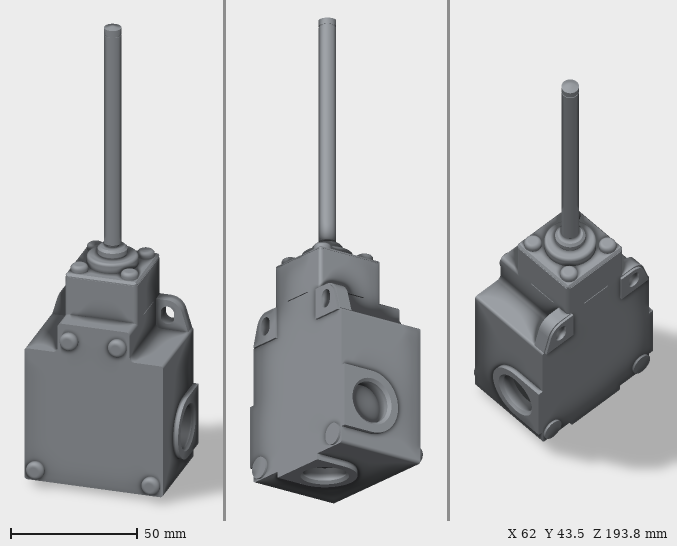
import cadquery as cq


body_width = 57.8
body_front = -24.5
body_back = 15.0
body_bottom = 2.5
shoulder_z = 59.7
column_top = 72.5
post_top = 77.0
edge_radius = 1.2
column_edge_radius = 1.5
inner_corner_radius = 2.0

neck_width = 30.0
neck_depth = 30.2
neck_edge_radius = 1.5
tongue_width = 13.2
tongue_gap = 0.4

overall_width = 62.0
entry_z = 22.3
entry_y = 1.4
entry_radius = 13.0
entry_bore_radius = 8.5
entry_bore_depth = 6.4
entry_bore_chamfer = 1.2

lug_thickness = 5.5
lug_base_x = 28.3
lug_corner_x = 24.5
lug_corner_radius = 6.5
lug_slot_x = 19.8
lug_slot_z = 65.9
lug_slot_width = 5.5
lug_slot_length = 7.5
pad_height = 1.0
lug_pad_inset = 0.5
foot_pad_radius = 4.5

screw_radius = 3.7
screw_height = 3.0
screw_dome = 1.7
upper_screw_x = 10.0
upper_screw_z = 65.5
lower_screw_x = 24.0
lower_screw_z = 7.4
head_screw_radius = 3.5
head_screw_height = 2.7
head_screw_dome = 1.5
head_screw_offset = 10.5

head_top = 90.1
lid_bevel_height = 1.0
lid_bevel_inset = 0.8
lid_groove_height = 0.5
lid_groove_depth = 0.2
collar_radius = 10.3
collar_height = 4.0
collar_fillet = 1.2
sleeve_radius = 6.0
sleeve_top = 97.9
sleeve_chamfer = 1.0
undercut_top = 95.0
undercut_depth = 0.4

rod_radius = 3.5
rod_bottom = 98.8
rod_top = 193.8
rod_chamfer = 0.4
tip_rise = 0.8
tip_groove_z = 190.0
tip_groove_height = 0.5
tip_groove_depth = 0.2
stem_radius = 2.5

neck_y = body_back - neck_depth / 2
column_z = (shoulder_z + column_top) / 2


def y_prism(outline, y_start, y_end):
    """Extrude a closed XZ outline from y_start to y_end."""
    return cq.Workplane("XZ", origin=(0, y_start, 0)).polyline(outline).close().extrude(y_start - y_end)


def neck_block(bottom, top):
    """Nearly square block, flush with the housing back, with rounded vertical edges."""
    return (
        cq.Workplane("XY", origin=(0, neck_y, bottom))
        .rect(neck_width, neck_depth)
        .extrude(top - bottom)
        .edges("|Z")
        .fillet(neck_edge_radius)
    )


def cross_bars(bottom):
    """Crossing bars from the given height up to the post tops."""
    height = post_top - bottom
    origin = (0, neck_y, bottom)
    along_x = cq.Workplane("XY", origin=origin).rect(neck_width, tongue_width).extrude(height)
    along_y = cq.Workplane("XY", origin=origin).rect(tongue_width, neck_depth).extrude(height)
    return along_x.union(along_y)


def housing_shell():
    """Body and narrower column in one outline, with rounded corners."""
    half_body = body_width / 2
    half_neck = neck_width / 2
    outline = [
        (-half_body, body_bottom),
        (half_body, body_bottom),
        (half_body, shoulder_z),
        (half_neck, shoulder_z),
        (half_neck, column_top),
        (-half_neck, column_top),
        (-half_neck, shoulder_z),
        (-half_body, shoulder_z),
    ]
    shell = y_prism(outline, body_back, body_front)
    inner_corners = cq.selectors.BoxSelector(
        (-half_neck - edge_radius, body_front, shoulder_z - edge_radius),
        (half_neck + edge_radius, body_back, shoulder_z + edge_radius),
    )
    shell = shell.edges("|Y").edges(inner_corners).fillet(inner_corner_radius)
    shell = shell.edges("|Y").edges("<X or >X").fillet(edge_radius)
    return shell.edges("|Y").edges(">Z").fillet(column_edge_radius)


def posts():
    """Four corner posts, left standing once the crossing slots are cleared."""
    return neck_block(column_z, post_top).cut(cross_bars(column_top))


def lug_plate(side, inset, y_start, y_end):
    """Lug outline with a rounded outer corner; the inset lowers it and draws it towards the column."""
    inner_x = neck_width / 2 - inner_corner_radius
    corner_x = lug_corner_x - inset
    outline = [
        (side * inner_x, shoulder_z - inset),
        (side * (lug_base_x - inset), shoulder_z - inset),
        (side * corner_x, column_top - inset),
        (side * inner_x, column_top - inset),
    ]
    plate = y_prism(outline, y_start, y_end)
    outer_corner = cq.selectors.NearestToPointSelector(
        (side * corner_x, (y_start + y_end) / 2, column_top - inset)
    )
    return plate.edges("|Y").edges(outer_corner).fillet(lug_corner_radius)


def lug(side):
    """Ear beside the column with a raised rear pad."""
    plate = lug_plate(side, 0, body_back, body_back - lug_thickness)
    return plate.union(lug_plate(side, lug_pad_inset, body_back + pad_height, body_back))


def lug_slot(side):
    return (
        cq.Workplane("XZ", origin=(side * lug_slot_x, body_back + pad_height, lug_slot_z))
        .slot2D(lug_slot_length, lug_slot_width, 90)
        .extrude(lug_thickness + pad_height)
    )


def foot_pad(side):
    """Round rear pad behind a lower cover screw."""
    return (
        cq.Workplane("XZ", origin=(side * lower_screw_x, body_back + pad_height, lower_screw_z))
        .circle(foot_pad_radius)
        .extrude(pad_height)
    )


def entry_boss(height):
    """U-shaped boss lying on XY: round towards -Y, square at the back, growing along +Z."""
    back = body_back - entry_y
    block = cq.Workplane("XY").center(0, back / 2).rect(2 * entry_radius, back).extrude(height)
    return cq.Workplane("XY").circle(entry_radius).extrude(height).union(block)


def entry_bore(mouth):
    """Blind round bore with a chamfered mouth, its opening at the given height along +Z."""
    bore = cq.Workplane("XY", origin=(0, 0, mouth)).circle(entry_bore_radius).extrude(-entry_bore_depth)
    mouth_cone = cq.Workplane(
        cq.Solid.makeCone(
            entry_bore_radius,
            entry_bore_radius + entry_bore_chamfer,
            entry_bore_chamfer,
            cq.Vector(0, 0, mouth - entry_bore_chamfer),
        )
    )
    return bore.union(mouth_cone)


def place_entry(shape, angle, reach):
    """Turn a boss or bore about Y and seat it on the wall at the given reach from the entry centre."""
    return (
        shape.translate((0, 0, reach))
        .rotate((0, 0, 0), (0, 1, 0), angle)
        .translate((0, entry_y, entry_z))
    )


def dome_screw(radius, height, dome):
    """Screw head standing on XY with a rounded rim."""
    return cq.Workplane("XY").circle(radius).extrude(height).faces(">Z").edges().fillet(dome)


def cover_screw(x, z):
    screw = dome_screw(screw_radius, screw_height, screw_dome)
    return screw.rotate((0, 0, 0), (1, 0, 0), 90).translate((x, body_front, z))


def make_housing():
    housing = housing_shell().union(posts())
    for side in (-1, 1):
        housing = housing.union(lug(side)).cut(lug_slot(side))
        housing = housing.union(foot_pad(side))
        housing = housing.union(cover_screw(side * upper_screw_x, upper_screw_z))
        housing = housing.union(cover_screw(side * lower_screw_x, lower_screw_z))

    side_reach = body_width / 2
    side_height = (overall_width - body_width) / 2
    bottom_reach = entry_z - body_bottom
    entries = [
        (-90, side_reach, side_height),
        (90, side_reach, side_height),
        (180, bottom_reach, body_bottom),
    ]
    for angle, reach, height in entries:
        housing = housing.union(place_entry(entry_boss(height), angle, reach))
        housing = housing.cut(place_entry(entry_bore(height), angle, reach))
    return housing


def head_block():
    """Rounded block whose top rim tapers inwards."""
    straight_height = head_top - lid_bevel_height - post_top
    taper = (
        cq.Workplane("XY", origin=(0, neck_y, post_top))
        .rect(neck_width, neck_depth)
        .extrude(straight_height)
        .faces(">Z")
        .workplane()
        .rect(neck_width, neck_depth)
        .workplane(offset=lid_bevel_height)
        .rect(neck_width - 2 * lid_bevel_inset, neck_depth - 2 * lid_bevel_inset)
        .loft(combine=True)
    )
    return neck_block(post_top, head_top).intersect(taper)


def lid_groove():
    """Shallow groove around the head just below the bevel."""
    return (
        cq.Workplane("XY", origin=(0, neck_y, head_top - lid_bevel_height - lid_groove_height))
        .rect(neck_width, neck_depth)
        .rect(neck_width - 2 * lid_groove_depth, neck_depth - 2 * lid_groove_depth)
        .extrude(lid_groove_height)
    )


def collar():
    return (
        cq.Workplane("XY", origin=(0, 0, head_top))
        .circle(collar_radius)
        .extrude(collar_height)
        .faces(">Z")
        .edges()
        .fillet(collar_fillet)
    )


def sleeve():
    """Chamfered sleeve, undercut at its foot, that holds the rod stem."""
    tube = (
        cq.Workplane("XY", origin=(0, 0, head_top))
        .circle(sleeve_radius)
        .extrude(sleeve_top - head_top)
        .faces(">Z")
        .edges()
        .chamfer(sleeve_chamfer)
    )
    undercut = (
        cq.Workplane("XY", origin=(0, 0, head_top))
        .circle(sleeve_radius)
        .circle(sleeve_radius - undercut_depth)
        .extrude(undercut_top - head_top)
    )
    return tube.cut(undercut)


def stem_hole():
    return cq.Workplane("XY", origin=(0, 0, head_top)).circle(stem_radius).extrude(sleeve_top - head_top)


def make_head():
    head = head_block().cut(lid_groove())
    head = head.union(cross_bars(column_top + tongue_gap)).union(collar()).union(sleeve())
    for x in (-head_screw_offset, head_screw_offset):
        for y in (-head_screw_offset, head_screw_offset):
            screw = dome_screw(head_screw_radius, head_screw_height, head_screw_dome)
            head = head.union(screw.translate((x, y, head_top)))
    return head.cut(stem_hole())


def make_rod():
    """Revolved rod: thin stem in the sleeve, long shaft, grooved conical tip."""
    groove_radius = rod_radius - tip_groove_depth
    groove_top = tip_groove_z + tip_groove_height
    half_profile = [
        (0, head_top),
        (stem_radius, head_top),
        (stem_radius, rod_bottom),
        (rod_radius - rod_chamfer, rod_bottom),
        (rod_radius, rod_bottom + rod_chamfer),
        (rod_radius, tip_groove_z),
        (groove_radius, tip_groove_z),
        (groove_radius, groove_top),
        (rod_radius, groove_top),
        (rod_radius, rod_top - tip_rise),
        (0, rod_top),
    ]
    return cq.Workplane("XZ").polyline(half_profile).close().revolve(360, (0, 0, 0), (0, 1, 0))


housing = make_housing()
head = make_head()
rod = make_rod()

result = cq.Compound.makeCompound([housing.val(), head.val(), rod.val()])